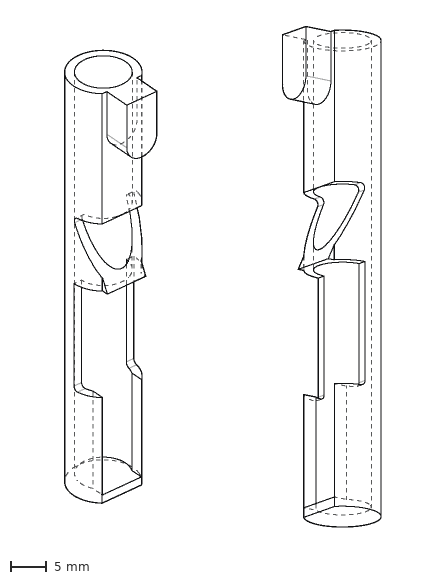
import cadquery as cq

length = 69.55
outer_diameter = 10.9
bore_diameter = 8.15
outer_radius = outer_diameter / 2
wall = (outer_diameter - bore_diameter) / 2
flat_x = 4.1

overall_depth = 14.0
lug_end_x = overall_depth - outer_radius
lug_width = 5.5
lug_round_z = 62.3

window_x = 0.15
lower_window_bottom = 17.95
wedge_bottom = 36.0
upper_window_top = 47.4
corner_radius = 0.7

wedge_tip_x = 5.15
wedge_root_x = -0.2
wedge_width = 7.0

slot_width = 7.1

cut_end_x = lug_end_x


def box_between(x_start, x_end, width, z_start, z_end):
    """Box centred on Y between the given X and Z limits."""
    return (
        cq.Workplane("XY", origin=((x_start + x_end) / 2, 0, z_start))
        .rect(x_end - x_start, width)
        .extrude(z_end - z_start)
    )


def make_body():
    cylinder = cq.Workplane("XY").circle(outer_radius).extrude(length)
    flat_limit = box_between(-outer_radius, flat_x, outer_diameter, 0, length)
    return cylinder.intersect(flat_limit)


def make_lug():
    block = box_between(0, lug_end_x, lug_width, lug_round_z, length)
    round_end = (
        cq.Workplane("YZ")
        .center(0, lug_round_z)
        .circle(lug_width / 2)
        .extrude(lug_end_x)
    )
    return block.union(round_end)


def make_upper_window():
    return (
        cq.Workplane("XZ")
        .moveTo(wedge_root_x, upper_window_top)
        .lineTo(cut_end_x, upper_window_top)
        .lineTo(cut_end_x, wedge_bottom)
        .lineTo(wedge_tip_x, wedge_bottom)
        .close()
        .extrude(outer_radius, both=True)
        .edges(cq.selectors.NearestToPointSelector((wedge_root_x, 0, upper_window_top)))
        .fillet(corner_radius)
    )


def make_lower_window():
    window = box_between(
        window_x, cut_end_x, outer_diameter, lower_window_bottom, wedge_bottom
    )
    return window.edges("|Y and <X and <Z").fillet(corner_radius)


bore = (
    cq.Workplane("XY", origin=(0, 0, wall))
    .circle(bore_diameter / 2)
    .extrude(length - wall)
)
slot = box_between(0, cut_end_x, slot_width, wall, wedge_bottom)
wedge_stock = box_between(0, wedge_tip_x, wedge_width, wedge_bottom, upper_window_top)

result = (
    make_body()
    .union(make_lug())
    .union(wedge_stock)
    .cut(make_upper_window())
    .cut(make_lower_window())
    .cut(slot)
    .cut(bore)
)